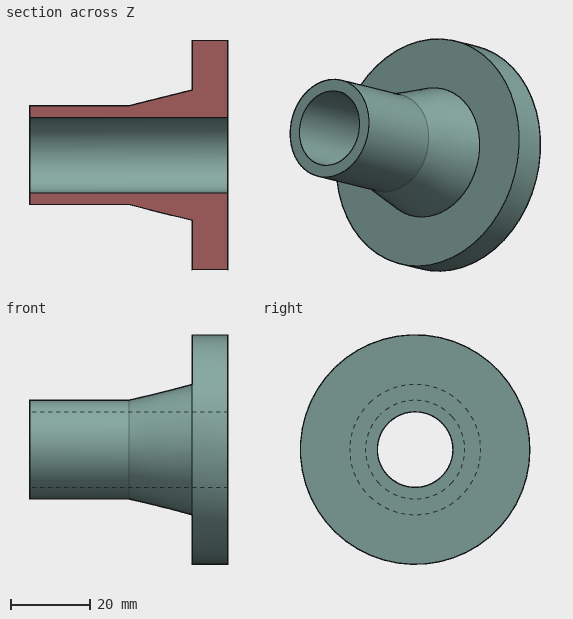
import cadquery as cq

flange_diameter = 58.0
flange_thickness = 9.0
tube_diameter = 25.0
tube_length = 25.0
bore_diameter = 19.0
hub_diameter = 33.0
overall_length = 50.0

flange_start = overall_length - flange_thickness

profile = (
    cq.Workplane("XY")
    .lineTo(0, tube_diameter / 2)
    .lineTo(tube_length, tube_diameter / 2)
    .lineTo(flange_start, hub_diameter / 2)
    .lineTo(flange_start, flange_diameter / 2)
    .lineTo(overall_length, flange_diameter / 2)
    .lineTo(overall_length, 0)
    .close()
)
body = profile.revolve(360, (0, 0, 0), (1, 0, 0))

bore = cq.Workplane("YZ").circle(bore_diameter / 2).extrude(overall_length)

result = body.cut(bore)